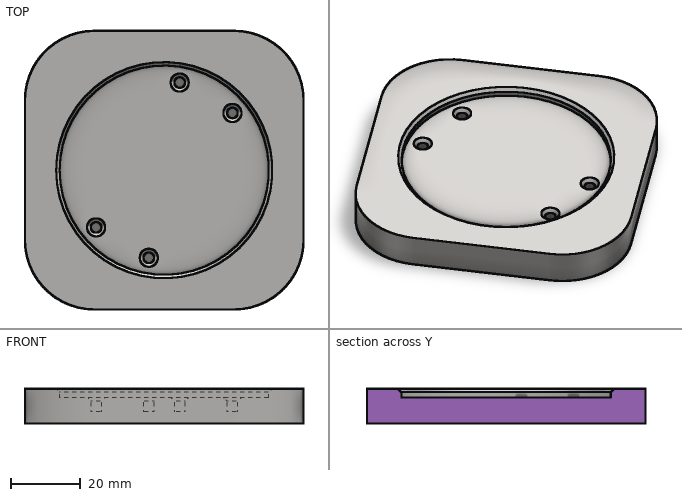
import cadquery as cq

side = 80
thickness = 10.0
corner_radius = side / 4

recess_diameter = 60
recess_depth = 2.5
rim_chamfer = thickness / 10
floor_height = thickness - recess_depth

hole_diameter = 3.0
countersink_diameter = 5.2
countersink_angle = 90
hole_depth = 4
hole_circle_radius = 25.5
pair_direction = 60
pair_half_angle = 20


def make_plate():
    plate = cq.Workplane("XY").rect(side, side).extrude(thickness)
    return plate.edges("|Z").fillet(corner_radius)


def cut_recess(plate):
    recessed = plate.faces(">Z").workplane().hole(recess_diameter, recess_depth)
    largest_radius = cq.selectors.RadiusNthSelector(-1)
    return recessed.faces(">Z").edges("%CIRCLE").edges(largest_radius).chamfer(rim_chamfer)


def drill_holes(plate):
    drilled = plate
    for direction in (pair_direction, pair_direction + 180):
        for offset in (-pair_half_angle, pair_half_angle):
            drilled = (
                drilled.copyWorkplane(cq.Workplane("XY", origin=(0, 0, floor_height)))
                .polarArray(hole_circle_radius, direction + offset, 360, 1)
                .cskHole(hole_diameter, countersink_diameter, countersink_angle, hole_depth)
            )
    return drilled


result = drill_holes(cut_recess(make_plate()))